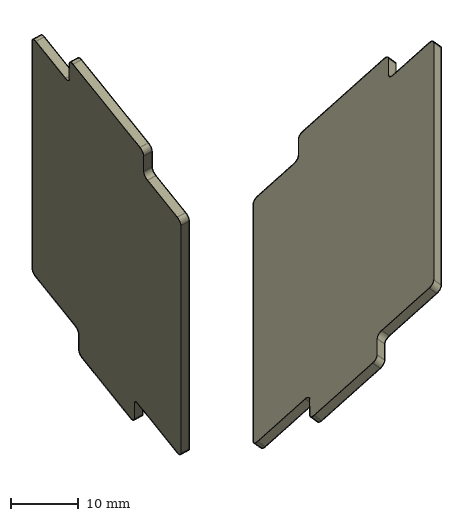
import cadquery as cq

total_height = 72.0
body_width = 40.0
thickness = 1.5

tab_height = 6.0
top_tab_width = 20.0
bottom_tab_width = 15.0

corner_radius = 1.0

body_height = total_height - 2 * tab_height
tab_center_z = (body_height + tab_height) / 2


def block(width, height, center_z):
    """Plate-thick block centred on X and Y."""
    return cq.Workplane("XY").box(width, thickness, height).translate((0, 0, center_z))


plate = (
    block(body_width, body_height, 0)
    .union(block(top_tab_width, tab_height, tab_center_z))
    .union(block(bottom_tab_width, tab_height, -tab_center_z))
)

result = plate.edges("|Y").fillet(corner_radius)